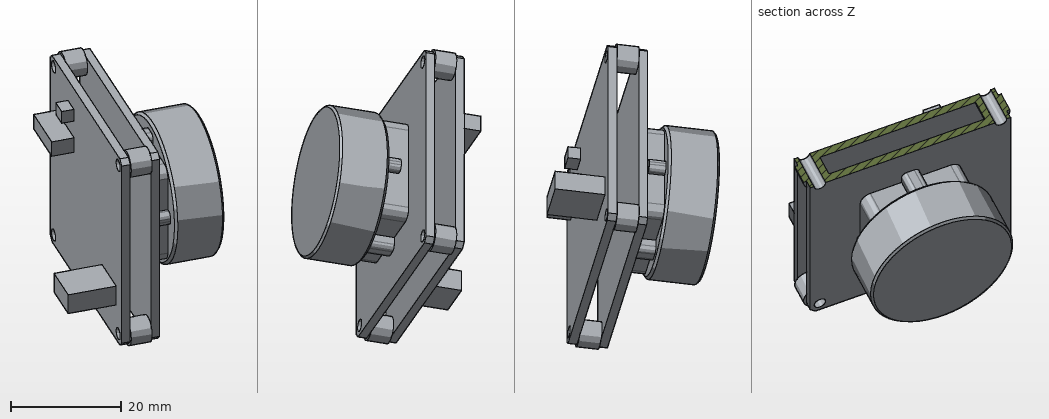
import cadquery as cq


board_side = 39.67
board_thickness = 1.65
board_corner_chamfer = 1.0
board_gap = 4.0
spacer_radius = 2.55
hole_diameter = 2.25
overall_width = 40.9
hole_pitch = overall_width - 2 * spacer_radius

holder_side = 19.88
holder_length = 5.0
holder_corner_radius = 2.0
boss_edge_radius = 1.02
end_boss_width = 3.5
end_boss_span = 24.75
side_boss_width = 2.6
side_boss_span = 22.9
side_boss_length = 3.05

barrel_diameter = 28.15
barrel_length = 9.45
barrel_front_chamfer = 0.5
barrel_rear_chamfer = 0.4

connectors = [
    (-8.3, 14.2, 3.27, 2.5, 2.35),
    (-11.55, 7.95, 10.02, 3.05, 4.3),
    (12.9, -10.45, 7.85, 4.0, 9.2),
]

rear_board_front = board_thickness + board_gap
rear_board_back = rear_board_front + board_thickness
barrel_front = rear_board_back + holder_length
barrel_back = barrel_front + barrel_length


def plane_at(y):
    """Sketch plane at the given Y, with local x = X, local y = Z and normal -Y."""
    return cq.Workplane("XZ", origin=(0, y, 0))


def block(width, height, y_start, y_end, edge_radius=0.0):
    """Centred block between two Y positions, with optional rounded long edges."""
    body = plane_at(y_end).rect(width, height).extrude(y_end - y_start)
    if edge_radius > 0:
        body = body.edges("|Y").fillet(edge_radius)
    return body


def board(y_start):
    """Square board with chamfered corners."""
    plate = block(board_side, board_side, y_start, y_start + board_thickness)
    return plate.edges("|Y").chamfer(board_corner_chamfer)


def corner_cylinders(diameter, y_start, y_end):
    """One cylinder on the axis of each mounting hole."""
    points = plane_at(y_end).rect(hole_pitch, hole_pitch, forConstruction=True).vertices()
    return points.circle(diameter / 2).extrude(y_end - y_start)


def board_stack():
    """Two boards joined by spacers, with mounting holes right through."""
    stack = board(0).union(board(rear_board_front))
    stack = stack.union(corner_cylinders(2 * spacer_radius, board_thickness, rear_board_front))
    return stack.cut(corner_cylinders(hole_diameter, 0, rear_board_back))


def lens_holder():
    """Base with full-length bosses above and below and shorter ones at the sides."""
    base = block(holder_side, holder_side, rear_board_back, barrel_front, holder_corner_radius)
    end_bosses = block(end_boss_width, end_boss_span, rear_board_back, barrel_front, boss_edge_radius)
    side_bosses = block(
        side_boss_span, side_boss_width, barrel_front - side_boss_length, barrel_front, boss_edge_radius
    )
    return base.union(end_bosses).union(side_bosses)


def lens_barrel():
    """Cylinder with a chamfer at each end."""
    barrel = plane_at(barrel_back).circle(barrel_diameter / 2).extrude(barrel_length)
    barrel = barrel.faces("<Y").chamfer(barrel_front_chamfer)
    return barrel.faces(">Y").chamfer(barrel_rear_chamfer)


result = board_stack().union(lens_holder()).union(lens_barrel())
for x, z, width, height, depth in connectors:
    result = result.union(block(width, height, -depth, 0).translate((x, 0, z)))